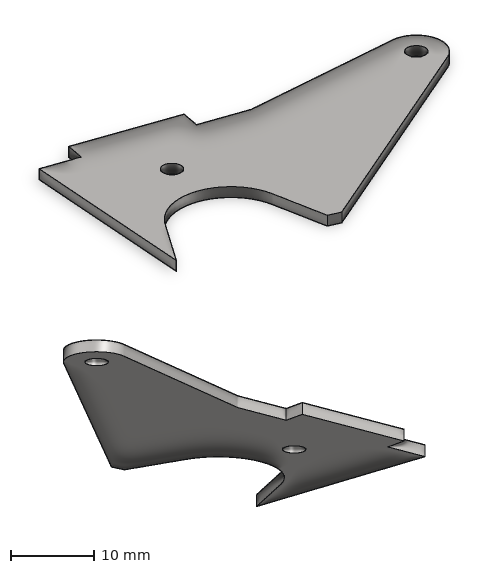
import cadquery as cq
import math

thickness = 1.5
hole_diameter = 2.8
pivot = (0.0, 0.0)
pivot_end_radius = 4.0
pivot_end_mid_angle = 135.0
lower_hole = (13.96, -38.85)

nose_x = 32.16
nose_top_y = -24.75
nose_bottom_y = -26.67
tip = (34.66, -47.82)

recess_center = (28.15, -37.59)
recess_radius = 8.0
recess_mid_angle = 180.0

bottom_corner = (7.2, -53.35)
back_lean = 5.0
back_edge_length = 29.46
tab_start = 5.84
tab_length = 16.0
tab_depth = 3.0


def tangent_point(point, center, radius, side):
    """Where a line from point touches the circle; side is +1 or -1 (counterclockwise or clockwise)."""
    dx = point[0] - center[0]
    dy = point[1] - center[1]
    angle = math.atan2(dy, dx) + side * math.acos(radius / math.hypot(dx, dy))
    return (center[0] + radius * math.cos(angle), center[1] + radius * math.sin(angle))


def back_edge_point(along, outward=0.0):
    """Point at a distance up the back edge from the bottom corner, and outward from the edge."""
    lean = math.radians(back_lean)
    x = bottom_corner[0] - along * math.sin(lean) - outward * math.cos(lean)
    y = bottom_corner[1] + along * math.cos(lean) - outward * math.sin(lean)
    return (x, y)


def point_on_circle(center, radius, degrees):
    """Point on a circle at an angle from the +X direction."""
    angle = math.radians(degrees)
    return (center[0] + radius * math.cos(angle), center[1] + radius * math.sin(angle))


def make_plate():
    """Plate outline, counterclockwise from the bottom corner, with lines tangent to both arcs."""
    nose_top = (nose_x, nose_top_y)
    nose_bottom = (nose_x, nose_bottom_y)
    knee = back_edge_point(back_edge_length)
    tab_end = tab_start + tab_length
    return (
        cq.Workplane("XY")
        .moveTo(*bottom_corner)
        .lineTo(*tip)
        .lineTo(*tangent_point(tip, recess_center, recess_radius, -1))
        .threePointArc(
            point_on_circle(recess_center, recess_radius, recess_mid_angle),
            tangent_point(nose_bottom, recess_center, recess_radius, 1),
        )
        .lineTo(*nose_bottom)
        .lineTo(*nose_top)
        .lineTo(*tangent_point(nose_top, pivot, pivot_end_radius, 1))
        .threePointArc(
            point_on_circle(pivot, pivot_end_radius, pivot_end_mid_angle),
            tangent_point(knee, pivot, pivot_end_radius, -1),
        )
        .lineTo(*knee)
        .lineTo(*back_edge_point(tab_end))
        .lineTo(*back_edge_point(tab_end, tab_depth))
        .lineTo(*back_edge_point(tab_start, tab_depth))
        .lineTo(*back_edge_point(tab_start))
        .close()
        .extrude(thickness)
    )


def make_hole_cutters():
    """Two equal through holes."""
    return (
        cq.Workplane("XY")
        .pushPoints([pivot, lower_hole])
        .circle(hole_diameter / 2)
        .extrude(thickness)
    )


result = make_plate().cut(make_hole_cutters())